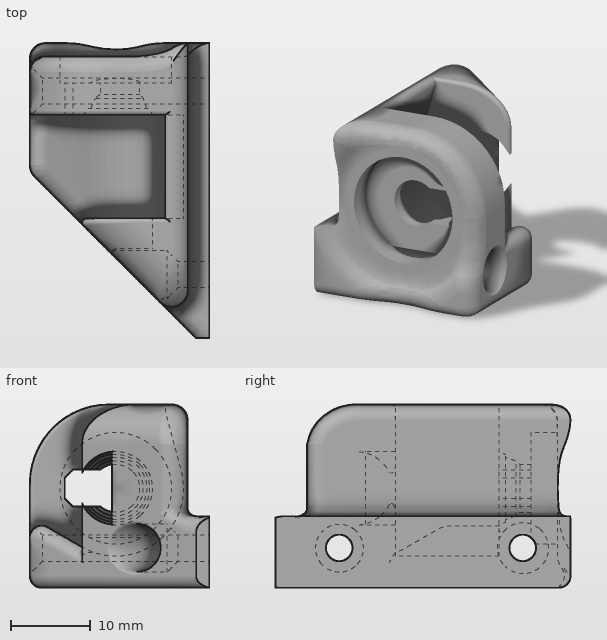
import cadquery as cq
import math

width = 22.5
length = 37.0
height = 23.0
flange_height = 9.0
upright_right = 19.8
diagonal_end = 20.85
dome_radius = 10.0

corner_round = 2.0
wall_round = 2.05
bottom_round = 1.5
diagonal_top_round = 5.0
flange_root_round = 1.0
rim_round = 0.5
side_rim_round = 0.75
floor_edge_round = 1.5

axis_x = 10.75
axis_z = 12.5
pocket_front = 15.0
pocket_back = 28.0
pocket_radius = 8.5
wall_tilt = math.radians(15)
floor_slope = math.radians(30)
trough_overlap = 1.0

bore_radius = 4.6
shoulder_outer = 4.25
shoulder_inner = 3.9
shoulder_y = 28.8
seat_outer = 3.45
seat_y = 30.1
through_radius = 3.0
through_start = 30.6
through_end = 32.0
relief_radius = 7.0
recess_end = 11.25
slot_reach = 6.35
slot_height = 4.6
slot_chamfer = 1.0

dish_depth = 1.7
dish_floor_radius = 8.2
dish_rim_radius = 12.6

screw_z = 5.0
screw_diameter = 3.3
rear_screw_y = 31.0
rear_sink_diameter = 6.4
front_screw_y = 8.0
head_diameter = 6.0
head_seat_x = 17.2
head_edge_round = 0.4

tolerance = 0.01
over = 5.0


def cylinder_y(radius, y_start, y_end):
    """Cylinder on the shared axis of pocket, bore and recess."""
    base = cq.Vector(axis_x, y_start, axis_z)
    return cq.Solid.makeCylinder(radius, y_end - y_start, base, cq.Vector(0, 1, 0))


def cylinder_x(y, radius, x_start, x_end):
    """Cylinder along X at screw height."""
    base = cq.Vector(x_start, y, screw_z)
    return cq.Solid.makeCylinder(radius, x_end - x_start, base, cq.Vector(1, 0, 0))


def revolve_y(points):
    """Body of revolution about the shared axis, from (radius, Y) points."""
    return (
        cq.Workplane("XY", origin=(axis_x, 0, axis_z))
        .polyline(points)
        .close()
        .revolve(360, (0, 0, 0), (0, 1, 0))
    )


def on_diagonal(point):
    return abs(point.x + point.y - diagonal_end) < tolerance


def on_back(point):
    return point.y > length - dish_depth - tolerance


def fillet_where(body, radius, test):
    """Round every edge whose two ends and middle all pass the test."""
    chosen = [
        edge for edge in body.edges().vals()
        if all(test(edge.positionAt(t)) for t in (0, 0.5, 1))
    ]
    return body.newObject(chosen).fillet(radius)


def make_block():
    """Upright and flange with a concave root, cut off by the 45 degree face."""
    root = flange_root_round
    section = (
        cq.Workplane("XZ", origin=(0, -over, 0))
        .moveTo(0, 0)
        .lineTo(0, height)
        .lineTo(upright_right, height)
        .lineTo(upright_right, flange_height + root)
        .radiusArc((upright_right + root, flange_height), -root)
        .lineTo(width, flange_height)
        .lineTo(width, 0)
        .close()
        .extrude(-length - 2 * over)
    )
    corner = (
        cq.Workplane("XY")
        .polyline([(-over, -over), (diagonal_end + over, -over), (-over, diagonal_end + over)])
        .close()
        .extrude(height)
    )
    block = section.cut(corner)
    block = fillet_where(block, diagonal_top_round,
                         lambda p: on_diagonal(p) and p.z > height - tolerance)
    return fillet_where(block, corner_round,
                        lambda p: on_diagonal(p) and abs(p.x) < tolerance)


def make_dome():
    """Prism with the large arc over its upper left corner, ending at the back face."""
    return (
        cq.Workplane("XZ", origin=(0, -over, 0))
        .moveTo(0, 0)
        .lineTo(0, height - dome_radius)
        .radiusArc((dome_radius, height), dome_radius)
        .lineTo(width, height)
        .lineTo(width, 0)
        .close()
        .extrude(-length - over)
    )


def dish_back(body):
    """Shallow dish in the back face around the bore, blended by two equal arcs."""
    floor_y = length - dish_depth
    halfway = ((dish_floor_radius + dish_rim_radius) / 2, length - dish_depth / 2)
    dish = (
        cq.Workplane("XY", origin=(axis_x, 0, axis_z))
        .moveTo(0, floor_y)
        .lineTo(dish_floor_radius, floor_y)
        .tangentArcPoint(halfway, relative=False)
        .tangentArcPoint((dish_rim_radius, length), relative=False)
        .lineTo(dish_rim_radius, length + over)
        .lineTo(0, length + over)
        .close()
        .revolve(360, (0, 0, 0), (0, 1, 0))
    )
    return body.cut(dish)


def round_back(body):
    """Round the back face along the left side, the large arc and the top."""
    def outer_back_edge(p):
        left = abs(p.x) < tolerance
        top = abs(p.z - height) < tolerance
        from_dome = math.hypot(p.x - dome_radius, p.z - height + dome_radius)
        dome = abs(from_dome - dome_radius) < tolerance and p.x < dome_radius
        return on_back(p) and (left or top or dome)

    return fillet_where(body, corner_round, outer_back_edge)


def round_wall(body):
    """Round the outer wall's top edge and its edge with the 45 degree face, down to the flange."""
    def wall_edge(p):
        top = abs(p.x - upright_right) < tolerance and p.z > height - tolerance
        front = on_diagonal(p) and p.x > upright_right - tolerance and p.z > flange_height - tolerance
        return top or front

    return fillet_where(body, wall_round, wall_edge)


def round_bottom(body):
    return fillet_where(body, bottom_round,
                        lambda p: p.z < tolerance and p.x < width - tolerance)


def trim_tip(body):
    """Cut the sharp front tip off flat at Y = 0."""
    return body.intersect(cq.Workplane("XY").box(width, length, height, centered=False))


def on_pocket_circle(angle):
    return (axis_x + pocket_radius * math.cos(angle), axis_z + pocket_radius * math.sin(angle))


def floor_height(x):
    """Height of the sloping floor at the given X."""
    foot_x, foot_z = on_pocket_circle(-math.pi / 2 - floor_slope)
    return foot_z + (foot_x - x) * math.tan(floor_slope)


def pocket_space():
    """Sloping floor, round trough and leaning wall, open to the top and the left."""
    wall_foot = on_pocket_circle(wall_tilt)
    floor_foot = on_pocket_circle(-math.pi / 2 - floor_slope)
    trough = on_pocket_circle((wall_tilt - math.pi / 2 - floor_slope) / 2)
    top = height + over
    return (
        cq.Workplane("XZ")
        .moveTo(wall_foot[0] - (top - wall_foot[1]) * math.tan(wall_tilt), top)
        .lineTo(*wall_foot)
        .threePointArc(trough, floor_foot)
        .lineTo(-over, floor_height(-over))
        .lineTo(-over, top)
        .close()
        .extrude(-length)
    )


def slice_y(body, y_start, y_end):
    slab = cq.Workplane("XY", origin=(0, y_start, 0)).box(width, y_end - y_start, height, centered=False)
    return body.intersect(slab)


def make_trough(body):
    """Middle of the part below and beside the pocket, with its floor lip and top edge rounded."""
    middle = slice_y(body, pocket_front - trough_overlap, pocket_back + trough_overlap)
    middle = middle.cut(pocket_space())

    def lip(p):
        on_floor = abs(p.z - floor_height(p.x)) < tolerance
        return on_floor and (p.x < tolerance or on_diagonal(p))

    middle = fillet_where(middle, floor_edge_round, lip)
    return fillet_where(middle, side_rim_round, lambda p: p.x < upright_right - wall_round - tolerance
                        and p.z > height - tolerance)


def open_pocket(body):
    """Front wall and back wall, rounded toward the pocket, joined by the trough."""
    front_wall = slice_y(body, 0, pocket_front).faces(">Y").edges().fillet(rim_round)
    back_wall = slice_y(body, pocket_back, length).faces("<Y").edges().fillet(rim_round)
    return front_wall.union(make_trough(body)).union(back_wall)


def cut_recess(body):
    """Blind round recess in the front wall, breaking out through the 45 degree face."""
    body = body.cut(cylinder_y(bore_radius, recess_end, pocket_front + over))
    return fillet_where(body, rim_round, lambda p: on_diagonal(p)
                        and abs(p.y - recess_end) < tolerance)


def cut_bore(body):
    """Stepped bore through the back wall, with a slot on its left."""
    bore = revolve_y([
        (0, pocket_back - over),
        (bore_radius, pocket_back - over),
        (bore_radius, pocket_back),
        (shoulder_outer, shoulder_y),
        (shoulder_inner, shoulder_y),
        (seat_outer, seat_y),
        (through_radius, through_start),
        (through_radius, through_end),
        (relief_radius, through_end),
        (relief_radius, length + over),
        (0, length + over),
    ])
    start = pocket_back - over / 2
    slot = (
        cq.Workplane("XZ", origin=(axis_x - slot_reach / 2, start, axis_z))
        .rect(slot_reach, slot_height)
        .extrude(start - length - over)
        .edges("|Y and <X")
        .chamfer(slot_chamfer)
    )
    return body.cut(bore).cut(slot)


def sink(y, x_start, diameter):
    """Conical seat at 90 degrees, from the given diameter down to the screw hole."""
    depth = (diameter - screw_diameter) / 2
    return cq.Solid.makeCone(diameter / 2, screw_diameter / 2, depth,
                             cq.Vector(x_start, y, screw_z), cq.Vector(1, 0, 0))


def cut_screw_holes(body):
    """Countersunk rear hole, and front hole with a deep round head space."""
    for y in (rear_screw_y, front_screw_y):
        body = body.cut(cylinder_x(y, screw_diameter / 2, -over, width + over))
    body = body.cut(sink(rear_screw_y, 0, rear_sink_diameter))
    body = body.cut(cylinder_x(front_screw_y, head_diameter / 2, 0, head_seat_x))
    body = body.cut(sink(front_screw_y, head_seat_x, head_diameter))
    reach = head_diameter / 2 + tolerance
    return fillet_where(body, head_edge_round, lambda p: on_diagonal(p)
                        and math.hypot(p.y - front_screw_y, p.z - screw_z) < reach)


shell = round_wall(make_block()).intersect(round_back(dish_back(make_dome())))
shell = trim_tip(round_bottom(shell))
result = cut_screw_holes(cut_bore(cut_recess(open_pocket(shell))))